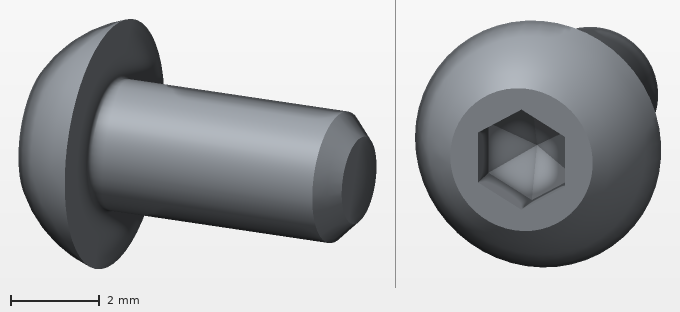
import cadquery as cq
import math

total_length = 7.65
head_diameter = 5.7
head_height = 1.65
head_flat_diameter = 3.3
shank_diameter = 3.0
neck_fillet = 0.085
tip_chamfer = 0.505
socket_across_flats = 2.005
socket_depth = 1.025
socket_floor_angle = 24.0

head_radius = head_diameter / 2
flat_radius = head_flat_diameter / 2
shank_radius = shank_diameter / 2

sphere_center = (head_radius**2 + head_height**2 - flat_radius**2) / (2 * head_height)
sphere_radius = math.hypot(sphere_center, flat_radius)
dome_mid_x = head_height / 2
dome_mid_radius = math.sqrt(sphere_radius**2 - (sphere_center - dome_mid_x) ** 2)

fillet_mid_offset = neck_fillet * (1 - math.sqrt(0.5))


def make_body():
    """Revolve the half profile of head and shank about the X axis."""
    return (
        cq.Workplane("XY")
        .lineTo(0, flat_radius)
        .threePointArc((dome_mid_x, dome_mid_radius), (head_height, head_radius))
        .lineTo(head_height, shank_radius + neck_fillet)
        .threePointArc(
            (head_height + fillet_mid_offset, shank_radius + fillet_mid_offset),
            (head_height + neck_fillet, shank_radius),
        )
        .lineTo(total_length - tip_chamfer, shank_radius)
        .lineTo(total_length, shank_radius - tip_chamfer)
        .lineTo(total_length, 0)
        .close()
        .revolve(360, (0, 0, 0), (1, 0, 0))
    )


def make_socket():
    """Hexagonal prism with corners towards +Z and -Z, ending in a hexagonal pyramid."""
    corner_radius = socket_across_flats / math.sqrt(3)
    floor_height = corner_radius * math.tan(math.radians(socket_floor_angle))
    corner_angles = [math.radians(90 + 60 * i) for i in range(6)]
    corners = [(corner_radius * math.cos(a), corner_radius * math.sin(a)) for a in corner_angles]

    prism = cq.Workplane("YZ").polyline(corners).close().extrude(socket_depth)

    base = [cq.Vector(socket_depth, y, z) for y, z in corners]
    apex = cq.Vector(socket_depth + floor_height, 0, 0)
    faces = [cq.Face.makeFromWires(cq.Wire.makePolygon(base, close=True))]
    for i in range(6):
        triangle = [base[i], base[(i + 1) % 6], apex]
        faces.append(cq.Face.makeFromWires(cq.Wire.makePolygon(triangle, close=True)))
    pyramid = cq.Solid.makeSolid(cq.Shell.makeShell(faces))
    return prism.union(cq.Workplane(pyramid))


result = make_body().cut(make_socket())